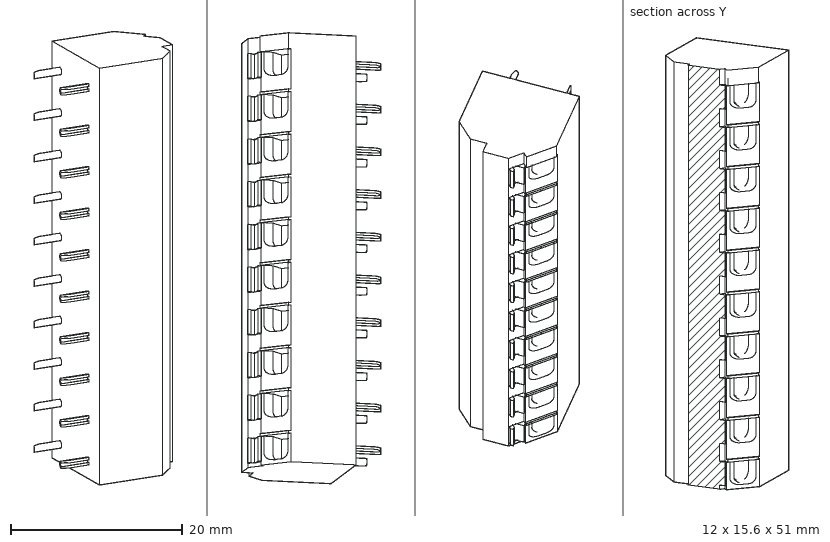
import cadquery as cq


width = 12.0
height = 11.83
length = 51.03
overall_depth = 15.56
pole_count = 10
pole_pitch = 5.08

slope_start_y = 8.17
slope_crest = 2.75
groove_depth = 0.5
groove_root_x = slope_crest + groove_depth
groove_root_y = slope_start_y + slope_crest - groove_depth
top_start_x = groove_root_x + height - groove_root_y
top_end_x = 7.83
shoulder_y = 10.44
shoulder_end_x = 9.86
chamfer_end_y = shoulder_y - (width - shoulder_end_x)

first_recess_top = length - 1.9
recess_length = 4.77
recess_drop = 0.34

funnel_length = 2.92
funnel_low_x = 0.31
funnel_high_x = 2.62
funnel_bend_y = 9.37
funnel_run = 1.4
funnel_radius = 0.92
outward = 1.5

lever_length = funnel_length
lever_lip_x = 4.0
lever_top_y = 12.01
lever_lip_bottom_y = 11.67
lever_ledge_y = 11.06
lever_ledge_x = 3.0
lever_undercut = lever_lip_bottom_y - lever_ledge_y
lever_lip_width = 0.35
lever_root_x = 4.9
lever_root_y = 10.2

pin_length = overall_depth - lever_top_y
pin_embed = 0.5
first_pin_z = length - 3.1
pin_width = 0.92
pin_ear_thickness = 0.31
pin_web_thickness = 0.25
pin_back_rise = 0.4
pin_tip_length = 0.8
pin_ear_cut = 0.25
left_pin_back_x = 2.45
left_pin_opening_x = 2.0
right_pin_back_x = 8.76
right_pin_opening_x = 9.37


def prism(points, z_low, z_high):
    """Extrude an XY outline between two Z levels."""
    return cq.Workplane("XY").workplane(offset=z_low).polyline(points).close().extrude(z_high - z_low)


def make_housing():
    outline = [
        (0, 0),
        (width, 0),
        (width, chamfer_end_y),
        (shoulder_end_x, shoulder_y),
        (top_end_x, shoulder_y),
        (top_end_x, height),
        (top_start_x, height),
        (groove_root_x, groove_root_y),
        (slope_crest, slope_start_y + slope_crest),
        (0, slope_start_y),
    ]
    return prism(outline, 0, length)


def make_recess(z_top):
    """Layer removed from the slope, open through the lower end on the last pole."""
    floor_start = slope_start_y - recess_drop
    crest_run = slope_crest + recess_drop / 2
    outline = [
        (0, floor_start),
        (crest_run, floor_start + crest_run),
        (crest_run - outward, floor_start + crest_run + outward),
        (-outward, floor_start + outward),
        (-outward, floor_start),
    ]
    return prism(outline, z_top - recess_length, z_top)


def make_funnel(z_top):
    """Wire entry with straight then inclined upper wall and rounded lower corners."""
    low_y = slope_start_y - recess_drop + funnel_low_x
    end_x = funnel_high_x + funnel_run
    end_y = funnel_bend_y - funnel_run
    floor_shift = (end_x - funnel_low_x + end_y - low_y) / 2
    outline = [
        (funnel_low_x - outward, low_y + outward),
        (funnel_high_x, funnel_bend_y + 2 * outward),
        (funnel_high_x, funnel_bend_y),
        (end_x, end_y),
        (end_x - floor_shift, end_y - floor_shift),
    ]
    funnel = prism(outline, z_top - funnel_length, z_top)
    lower_edges = funnel.faces("<Z").edges()
    return lower_edges.fillet(funnel_radius)


def make_lever_undercut(z_top):
    """Clearance in the groove wall below the lever lip."""
    outline = [
        (lever_lip_x, lever_lip_bottom_y),
        (lever_lip_x + lever_undercut, lever_ledge_y),
        (lever_lip_x - lever_undercut, lever_ledge_y),
    ]
    return prism(outline, z_top - lever_length, z_top)


def make_lever(z_top):
    lip_end_x = lever_lip_x + lever_lip_width
    outline = [
        (lever_ledge_x, lever_root_y),
        (lever_ledge_x, lever_ledge_y),
        (lever_lip_x + lever_undercut, lever_ledge_y),
        (lever_lip_x, lever_lip_bottom_y),
        (lever_lip_x, lever_top_y),
        (lip_end_x, lever_top_y),
        (lever_root_x, lever_top_y - (lever_root_x - lip_end_x)),
        (lever_root_x, lever_root_y),
    ]
    return prism(outline, z_top - lever_length, z_top)


def make_pin(back_x, opening_x, z_center):
    """Curved channel pin, convex at back_x and open at opening_x, with its ears cut back at the tip."""
    side = 1 if opening_x > back_x else -1
    half_width = pin_width / 2
    inner_half_width = half_width - pin_ear_thickness
    inner_back_x = back_x + side * pin_web_thickness
    flank_x = back_x + side * pin_back_rise
    pin = (
        cq.Workplane("XZ", origin=(0, pin_embed, 0))
        .moveTo(opening_x, z_center - half_width)
        .lineTo(flank_x, z_center - half_width)
        .threePointArc((back_x, z_center), (flank_x, z_center + half_width))
        .lineTo(opening_x, z_center + half_width)
        .lineTo(opening_x, z_center + inner_half_width)
        .threePointArc((inner_back_x, z_center), (opening_x, z_center - inner_half_width))
        .close()
        .extrude(pin_length + pin_embed)
    )
    ear_x = opening_x - side * pin_ear_cut
    tip_outline = [
        (ear_x, -pin_length),
        (opening_x, pin_tip_length - pin_length),
        (opening_x + side, pin_tip_length - pin_length),
        (opening_x + side, -pin_length),
    ]
    return pin.cut(prism(tip_outline, z_center - pin_width, z_center + pin_width))


result = make_housing()
for pole in range(pole_count):
    drop = pole * pole_pitch
    recess_top = first_recess_top - drop
    pin_z = first_pin_z - drop
    result = result.cut(make_recess(recess_top))
    result = result.cut(make_funnel(recess_top))
    result = result.cut(make_lever_undercut(recess_top))
    result = result.union(make_lever(recess_top))
    result = result.union(make_pin(left_pin_back_x, left_pin_opening_x, pin_z))
    result = result.union(make_pin(right_pin_back_x, right_pin_opening_x, pin_z))